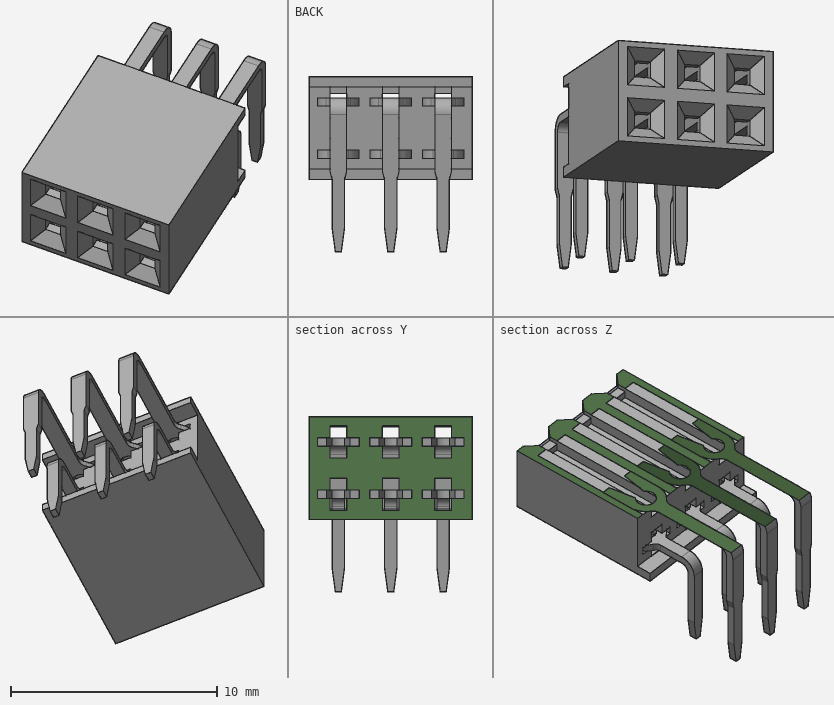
import cadquery as cq
import math


COLUMNS = 3
PITCH = 2.54
column_xs = [(i - (COLUMNS - 1) / 2) * PITCH for i in range(COLUMNS)]

HOUSING_WIDTH = 7.92
HOUSING_DEPTH = 8.5
HOUSING_HEIGHT = 4.99
LIP_THICKNESS = 0.5
RECESS_DEPTH = 0.8
rear_face_y = HOUSING_DEPTH - RECESS_DEPTH
lower_row_z = (HOUSING_HEIGHT - PITCH) / 2
upper_row_z = lower_row_z + PITCH

MOUTH_SIZE = 1.9
ENTRY_SIZE = 0.8
CAVITY_START = 1.0
CAVITY_HEIGHT = 1.55
funnel_depth = (MOUTH_SIZE - ENTRY_SIZE) / 2

THICKNESS = 0.4
OVERALL_DEPTH = 12.9
OVERALL_HEIGHT = 8.5
RING_INNER_RADIUS = 0.5
RING_OUTER_RADIUS = 1.0
RING_CENTRE_Y = 7.02
PINCH_HALF_GAP = 0.31
PRONG_TIP_Y = 5.16
PRONG_FLARE_ANGLE = 10.0
NECK_END_Y = 8.22
BEND_INNER_RADIUS = 0.4
UPPER_ARM_WIDTH = 0.8
LEG_WIDTH = 0.6
SHOULDER_HEIGHT = 0.39
TAPER_LENGTH = 1.15
TIP_WIDTH = 0.3
leg_tip_z = HOUSING_HEIGHT - OVERALL_HEIGHT
bend_outer_radius = BEND_INNER_RADIUS + THICKNESS


def box_between(width, height, y_start, y_end, x, z):
    """Box centred on (x, z) that runs from y_start to y_end."""
    return cq.Workplane("XY").box(width, y_end - y_start, height).translate((x, (y_start + y_end) / 2, z))


def make_socket_cutter(x, z):
    """Funnel, entry hole and contact cavity of one socket."""
    funnel = (
        cq.Workplane("XZ", origin=(x, 0, z))
        .rect(MOUTH_SIZE, MOUTH_SIZE)
        .workplane(offset=-funnel_depth)
        .rect(ENTRY_SIZE, ENTRY_SIZE)
        .loft(ruled=True)
    )
    entry = box_between(ENTRY_SIZE, ENTRY_SIZE, funnel_depth, CAVITY_START, x, z)
    tall_slot = box_between(ENTRY_SIZE, CAVITY_HEIGHT, CAVITY_START, rear_face_y, x, z)
    contact_slot = box_between(2 * RING_OUTER_RADIUS, THICKNESS, CAVITY_START, rear_face_y, x, z)
    return funnel.union(entry).union(tall_slot).union(contact_slot)


def make_housing():
    """Block with a rear recess between two lips and one socket per contact."""
    body = box_between(HOUSING_WIDTH, HOUSING_HEIGHT, 0, HOUSING_DEPTH, 0, HOUSING_HEIGHT / 2)
    recess_height = HOUSING_HEIGHT - 2 * LIP_THICKNESS
    body = body.cut(
        box_between(HOUSING_WIDTH, recess_height, rear_face_y, HOUSING_DEPTH, 0, HOUSING_HEIGHT / 2)
    )
    for x in column_xs:
        for z in (lower_row_z, upper_row_z):
            body = body.cut(make_socket_cutter(x, z))
    return body


def make_fork(arm_width):
    """Flat fork centred on Z = 0: two prongs, an open ring and a filleted neck."""
    neck_half = arm_width / 2
    neck_reach = NECK_END_Y - RING_CENTRE_Y
    squared_gap = neck_reach**2 + neck_half**2 - RING_OUTER_RADIUS**2
    neck_fillet = squared_gap / (2 * (RING_OUTER_RADIUS - neck_half))
    fillet_x = neck_half + neck_fillet
    touch_angle = math.atan2(neck_reach, fillet_x)

    def ring_point(angle):
        return (
            RING_OUTER_RADIUS * math.cos(angle),
            RING_CENTRE_Y + RING_OUTER_RADIUS * math.sin(angle),
        )

    fillet_mid = (
        fillet_x - neck_fillet * math.cos(touch_angle / 2),
        NECK_END_Y - neck_fillet * math.sin(touch_angle / 2),
    )
    touch = ring_point(touch_angle)
    ring_mid = ring_point(touch_angle / 2)
    pinch_y = RING_CENTRE_Y - math.sqrt(RING_INNER_RADIUS**2 - PINCH_HALF_GAP**2)
    flare = (pinch_y - PRONG_TIP_Y) * math.tan(math.radians(PRONG_FLARE_ANGLE))
    tip_half_gap = PINCH_HALF_GAP + flare

    def mirrored(point):
        return (-point[0], point[1])

    fork = (
        cq.Workplane("XY", origin=(0, 0, -THICKNESS / 2))
        .moveTo(neck_half, NECK_END_Y)
        .threePointArc(fillet_mid, touch)
        .threePointArc(ring_mid, (RING_OUTER_RADIUS, RING_CENTRE_Y))
        .lineTo(RING_OUTER_RADIUS, PRONG_TIP_Y)
        .lineTo(tip_half_gap, PRONG_TIP_Y)
        .lineTo(PINCH_HALF_GAP, pinch_y)
        .threePointArc((0, RING_CENTRE_Y + RING_INNER_RADIUS), (-PINCH_HALF_GAP, pinch_y))
        .lineTo(-tip_half_gap, PRONG_TIP_Y)
        .lineTo(-RING_OUTER_RADIUS, PRONG_TIP_Y)
        .lineTo(-RING_OUTER_RADIUS, RING_CENTRE_Y)
        .threePointArc(mirrored(ring_mid), mirrored(touch))
        .threePointArc(mirrored(fillet_mid), (-neck_half, NECK_END_Y))
        .close()
        .extrude(THICKNESS)
    )
    return fork


def make_tail(arm_width, row_z, leg_back_y):
    """Arm, bend and tapered leg: the bent side profile trimmed to the outline across X."""
    top_z = row_z + THICKNESS / 2
    under_z = row_z - THICKNESS / 2
    leg_front_y = leg_back_y - THICKNESS
    bend_start_y = leg_back_y - bend_outer_radius
    bend_end_z = top_z - bend_outer_radius
    bent_strip = (
        cq.Workplane("YZ")
        .moveTo(NECK_END_Y, top_z)
        .lineTo(bend_start_y, top_z)
        .radiusArc((leg_back_y, bend_end_z), bend_outer_radius)
        .lineTo(leg_back_y, leg_tip_z)
        .lineTo(leg_front_y, leg_tip_z)
        .lineTo(leg_front_y, bend_end_z)
        .radiusArc((bend_start_y, under_z), -BEND_INNER_RADIUS)
        .lineTo(NECK_END_Y, under_z)
        .close()
        .extrude(arm_width / 2, both=True)
    )

    right_side = [(arm_width / 2, top_z)]
    if arm_width > LEG_WIDTH:
        right_side.append((arm_width / 2, SHOULDER_HEIGHT))
    right_side += [
        (LEG_WIDTH / 2, 0),
        (LEG_WIDTH / 2, leg_tip_z + TAPER_LENGTH),
        (TIP_WIDTH / 2, leg_tip_z),
    ]
    left_side = [(-x, z) for x, z in reversed(right_side)]
    outline = cq.Workplane("XZ").polyline(right_side + left_side).close().extrude(-OVERALL_DEPTH)
    return bent_strip.intersect(outline)


def make_contact(arm_width, row_z, leg_back_y):
    """One contact in the plane X = 0, fork and tail in one piece."""
    tail = make_tail(arm_width, row_z, leg_back_y)
    return make_fork(arm_width).translate((0, 0, row_z)).union(tail).clean()


housing = make_housing()
upper_contact = make_contact(UPPER_ARM_WIDTH, upper_row_z, OVERALL_DEPTH)
lower_contact = make_contact(LEG_WIDTH, lower_row_z, OVERALL_DEPTH - PITCH)
upper_contacts = [upper_contact.translate((x, 0, 0)) for x in column_xs]
lower_contacts = [lower_contact.translate((x, 0, 0)) for x in column_xs]

result = cq.Compound.makeCompound(
    [housing.val()] + [contact.val() for contact in upper_contacts + lower_contacts]
)